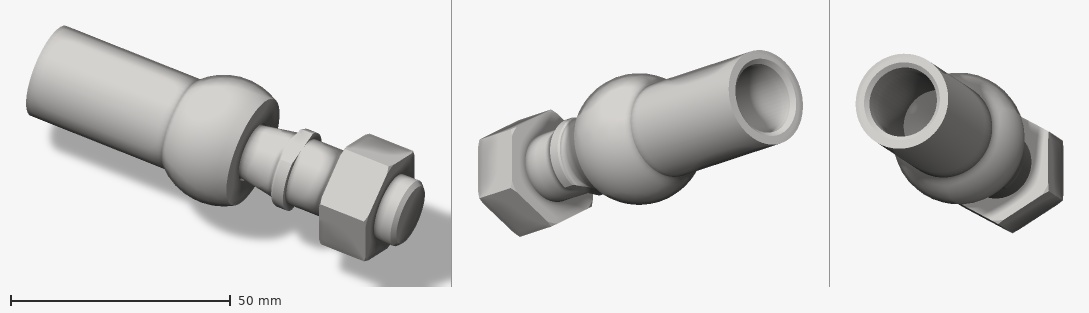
import cadquery as cq
import math


BODY_DIAMETER = 30.0
TUBE_DIAMETER = 22.0
TUBE_END_X = -45.0
HOUSING_FACE_X = 7.5
BORE_DIAMETER = 16.0
BORE_DEPTH = 28.0
BORE_CHAMFER = 1.0
DRILL_POINT_ANGLE = 120.0
MOUTH_DIAMETER = 14.0

BALL_DIAMETER = 19.0
SHAFT_DIAMETER = 16.0
SHAFT_END_X = 48.0
SHAFT_CHAMFER = 1.0
NECK_START_X = 6.9
NECK_START_DIAMETER = 12.87
NECK_END_X = 16.2
COLLAR_DIAMETER = 19.0
COLLAR_FACE_X = 17.05
COLLAR_FACE_DIAMETER = 18.5
COLLAR_RIM_X = 17.55
COLLAR_END_X = 20.2
COLLAR_ACROSS_FLATS = SHAFT_DIAMETER

NUT_ACROSS_FLATS = 24.0
NUT_START_X = 30.75
NUT_THICKNESS = 12.0
NUT_FACE_DIAMETER = 26.2
NUT_CHAMFER_ANGLE = 30.0


def make_housing():
    """Spherical socket on a tube with a chamfered blind bore."""
    sphere_radius = BODY_DIAMETER / 2
    tube_radius = TUBE_DIAMETER / 2
    bore_radius = BORE_DIAMETER / 2
    face_radius = math.sqrt(sphere_radius**2 - HOUSING_FACE_X**2)
    tube_joint_x = -math.sqrt(sphere_radius**2 - tube_radius**2)
    bore_end_x = TUBE_END_X + BORE_DEPTH
    bore_tip_x = bore_end_x + bore_radius / math.tan(math.radians(DRILL_POINT_ANGLE / 2))

    outline = (
        cq.Workplane("XY")
        .moveTo(bore_tip_x, 0)
        .lineTo(bore_end_x, bore_radius)
        .lineTo(TUBE_END_X + BORE_CHAMFER, bore_radius)
        .lineTo(TUBE_END_X, bore_radius + BORE_CHAMFER)
        .lineTo(TUBE_END_X, tube_radius)
        .lineTo(tube_joint_x, tube_radius)
        .threePointArc((0, sphere_radius), (HOUSING_FACE_X, face_radius))
        .lineTo(HOUSING_FACE_X, 0)
        .close()
    )
    solid = outline.revolve(360, (0, 0, 0), (1, 0, 0))
    socket = cq.Workplane("XY").sphere(BALL_DIAMETER / 2)
    mouth = cq.Workplane("YZ").circle(MOUTH_DIAMETER / 2).extrude(HOUSING_FACE_X)

    return solid.cut(socket).cut(mouth)


def make_collar():
    """Collar that flares out of the neck, with two wrench flats facing up and down."""
    neck_radius = SHAFT_DIAMETER / 2
    face_radius = COLLAR_FACE_DIAMETER / 2
    collar_radius = COLLAR_DIAMETER / 2

    flare_length = COLLAR_FACE_X - NECK_END_X
    flare_height = face_radius - neck_radius
    flare_radius = (flare_length**2 + flare_height**2) / (2 * flare_length)
    half_sweep = math.asin(flare_height / flare_radius) / 2
    flare_middle = (
        COLLAR_FACE_X - flare_radius * (1 - math.cos(half_sweep)),
        face_radius - flare_radius * math.sin(half_sweep),
    )

    collar = (
        cq.Workplane("XY")
        .moveTo(NECK_END_X, 0)
        .lineTo(NECK_END_X, neck_radius)
        .threePointArc(flare_middle, (COLLAR_FACE_X, face_radius))
        .lineTo(COLLAR_RIM_X, collar_radius)
        .lineTo(COLLAR_END_X, collar_radius)
        .lineTo(COLLAR_END_X, 0)
        .close()
        .revolve(360, (0, 0, 0), (1, 0, 0))
    )
    between_flats = cq.Workplane("XY").box(
        2 * COLLAR_END_X, 2 * COLLAR_DIAMETER, COLLAR_ACROSS_FLATS
    )
    return collar.intersect(between_flats)


def make_stud():
    """Ball, tapered neck, collar and chamfered shaft."""
    shaft_radius = SHAFT_DIAMETER / 2
    neck_and_shaft = (
        cq.Workplane("XY")
        .lineTo(0, NECK_START_DIAMETER / 2)
        .lineTo(NECK_START_X, NECK_START_DIAMETER / 2)
        .lineTo(NECK_END_X, shaft_radius)
        .lineTo(SHAFT_END_X - SHAFT_CHAMFER, shaft_radius)
        .lineTo(SHAFT_END_X, shaft_radius - SHAFT_CHAMFER)
        .lineTo(SHAFT_END_X, 0)
        .close()
        .revolve(360, (0, 0, 0), (1, 0, 0))
    )
    ball = cq.Workplane("XY").sphere(BALL_DIAMETER / 2)
    return neck_and_shaft.union(ball).union(make_collar())


def make_nut():
    """Hexagon nut with corners pointing up and down, chamfered on both faces."""
    corner_radius = NUT_ACROSS_FLATS / math.sqrt(3)
    face_radius = NUT_FACE_DIAMETER / 2
    chamfer_length = (corner_radius - face_radius) * math.tan(math.radians(NUT_CHAMFER_ANGLE))
    end_x = NUT_START_X + NUT_THICKNESS

    hexagon = (
        cq.Workplane("YZ", origin=(NUT_START_X, 0, 0))
        .polygon(6, 2 * corner_radius)
        .extrude(NUT_THICKNESS)
        .rotate((0, 0, 0), (1, 0, 0), 90)
    )
    chamfer_envelope = (
        cq.Workplane("XY")
        .moveTo(NUT_START_X, 0)
        .lineTo(NUT_START_X, face_radius)
        .lineTo(NUT_START_X + chamfer_length, corner_radius)
        .lineTo(end_x - chamfer_length, corner_radius)
        .lineTo(end_x, face_radius)
        .lineTo(end_x, 0)
        .close()
        .revolve(360, (0, 0, 0), (1, 0, 0))
    )
    hole = cq.Workplane("YZ").circle(SHAFT_DIAMETER / 2).extrude(SHAFT_END_X)
    return hexagon.intersect(chamfer_envelope).cut(hole)


housing = make_housing()
stud = make_stud()
nut = make_nut()

result = cq.Compound.makeCompound([housing.val(), stud.val(), nut.val()])